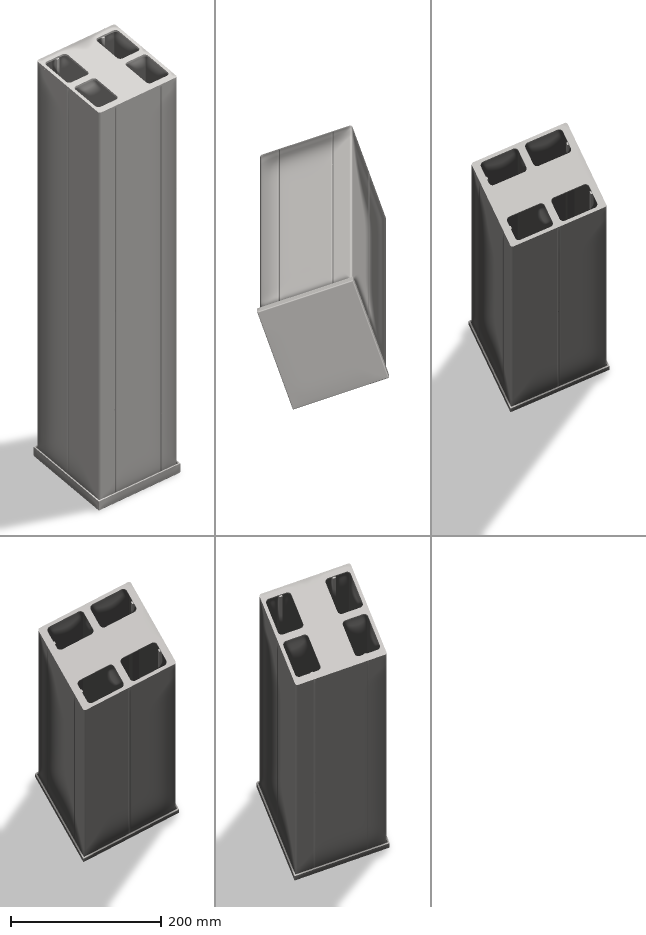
import cadquery as cq

TOTAL_HEIGHT = 676.0
SHEET = 2.0
COLUMN_X = 140.0
COLUMN_Y = 130.0
BEND_RADIUS = 3.05
SEAM_RADIUS = 1.9
COVER_WIDTH = 76.0
FLANGE_DEPTH = 12.0
TOP_THICKNESS = 3.05
WINDOW_X = 55.0
WINDOW_Y = 36.0
WINDOW_GAP_X = 10.0
WINDOW_GAP_Y = 49.0
WINDOW_RADIUS = 5.5
TRAY_X = 145.0
TRAY_Y = 135.0
TRAY_HEIGHT = 16.0
TRAY_EDGE_RADIUS = 1.5

CHANNEL_X = COLUMN_X / 2
SEAM_Y = COVER_WIDTH / 2
BEND_INNER_RADIUS = BEND_RADIUS - SHEET
TOP_UNDERSIDE = TOTAL_HEIGHT - TOP_THICKNESS
WALL_HEIGHT = TOP_UNDERSIDE - SHEET


def wall_block(x_min, x_max, y_min, y_max):
    """Upright block between the tray floor and the top plate."""
    center = ((x_min + x_max) / 2, (y_min + y_max) / 2, SHEET)
    return cq.Workplane("XY", origin=center).rect(x_max - x_min, y_max - y_min).extrude(WALL_HEIGHT)


def bent_tube(x_min, x_max, y_min, y_max):
    """Upright sheet tube with rounded bends."""
    outside = wall_block(x_min, x_max, y_min, y_max).edges("|Z").fillet(BEND_RADIUS)
    inside = wall_block(x_min + SHEET, x_max - SHEET, y_min + SHEET, y_max - SHEET)
    return outside.cut(inside.edges("|Z").fillet(BEND_INNER_RADIUS))


def back_flange():
    """Inward flange of the right-hand channel, at the seam behind the side cover."""
    flange = wall_block(CHANNEL_X - FLANGE_DEPTH, CHANNEL_X, SEAM_Y, SEAM_Y + SHEET)
    return flange.edges("|Z and >X and <Y").fillet(SEAM_RADIUS)


def make_channel():
    """Right-hand channel: web at mid-column, front and back walls, flanged side lips."""
    tube = bent_tube(0, CHANNEL_X, -COLUMN_Y / 2, COLUMN_Y / 2)
    lip_end = SEAM_Y + SHEET
    opening = wall_block(CHANNEL_X / 2, CHANNEL_X, -lip_end, lip_end)
    flange = back_flange()
    return tube.cut(opening).union(flange).union(flange.mirror("XZ"))


def make_side_cover():
    """Right-hand cover: flat sheet with a flange folded inward along both edges."""
    cover = wall_block(CHANNEL_X - FLANGE_DEPTH, CHANNEL_X, -SEAM_Y, SEAM_Y)
    cover = cover.edges("|Z and >X").fillet(SEAM_RADIUS)
    flange_inner_y = SEAM_Y - SHEET
    return cover.cut(wall_block(0, CHANNEL_X - SHEET, -flange_inner_y, flange_inner_y))


def make_tray():
    """Shallow open tray that the column stands in."""
    tray = cq.Workplane("XY").box(TRAY_X, TRAY_Y, TRAY_HEIGHT, centered=(True, True, False))
    tray = tray.faces("<Z").edges().fillet(TRAY_EDGE_RADIUS)
    pocket = (
        cq.Workplane("XY", origin=(0, 0, SHEET))
        .rect(TRAY_X - 2 * SHEET, TRAY_Y - 2 * SHEET)
        .extrude(TRAY_HEIGHT)
    )
    return tray.cut(pocket)


def make_top_plate():
    """Flat plate on the column with four rounded windows."""
    base = cq.Workplane("XY", origin=(0, 0, TOP_UNDERSIDE))
    plate = base.rect(COLUMN_X, COLUMN_Y).extrude(TOP_THICKNESS).edges("|Z").fillet(BEND_RADIUS)
    windows = (
        base.rarray(WINDOW_X + WINDOW_GAP_X, WINDOW_Y + WINDOW_GAP_Y, 2, 2)
        .rect(WINDOW_X, WINDOW_Y)
        .extrude(TOP_THICKNESS)
        .edges("|Z")
        .fillet(WINDOW_RADIUS)
    )
    return plate.cut(windows)


def right_and_left(body):
    """The right-hand body and its mirror image on the left."""
    return [body.solids().val(), body.mirror("YZ").solids().val()]


tray = make_tray().solids().val()
top_plate = make_top_plate().solids().val()
channels = right_and_left(make_channel())
side_covers = right_and_left(make_side_cover())

result = cq.Compound.makeCompound([tray, top_plate, *channels, *side_covers])